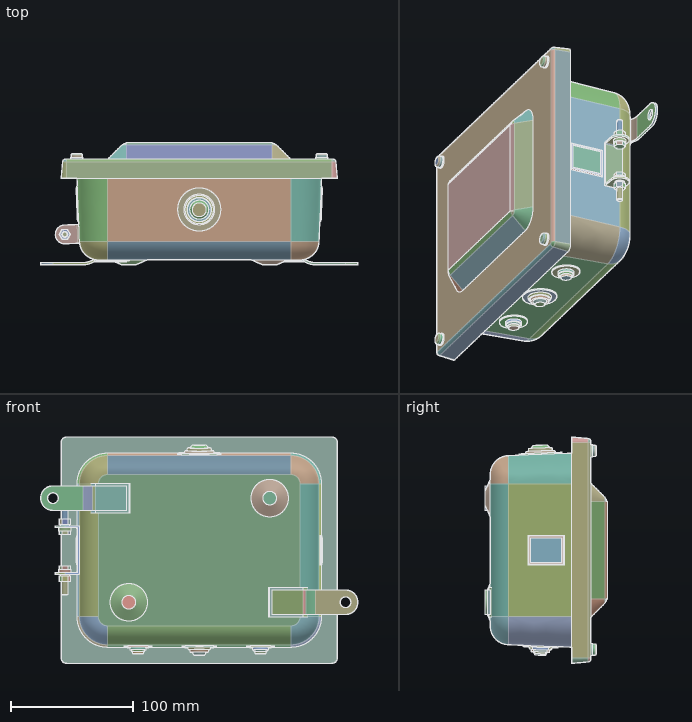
import cadquery as cq
import math

HOUSING_LENGTH = 199.7
HOUSING_HEIGHT = 158.5
HOUSING_CORNER_RADIUS = 25.0
FLOOR_RADIUS = 15.5
FLOOR_Y = -45.8
DRAFT = 2.2

LID_LENGTH = 225.5
LID_HEIGHT = 185.0
LID_CORNER_RADIUS = 4.7
LID_DRAFT = 5.0
LID_EDGE_RADIUS = 2.5
LID_FRONT_Y = 20.7
LID_BACK_Y = 36.5
PANEL_LENGTH = 149.2
PANEL_HEIGHT = 109.3
PANEL_CORNER_RADIUS = 15.0
PANEL_TOP_Y = 50.0
PANEL_SLOPE = 45.0
PANEL_EDGE_DROP = 2.0
PANEL_EDGE_SLOPE = 62.0

SCREW_X = 100.0
SCREW_Z = 81.0
SCREW_FLANGE_DIAMETER = 10.0
SCREW_HEAD_DIAMETER = 9.3
SCREW_FLANGE_THICKNESS = 1.0
SCREW_HEAD_THICKNESS = 3.4
SCREW_HEAD_ROUND = 1.3

STRAP_END_X = 129.5
STRAP_INNER_X = 59.3
STRAP_Z = 42.5
STRAP_WIDTH = 20.2
STRAP_THICKNESS = 2.0
STRAP_HOLE_DIAMETER = 8.5
STRAP_LOW_Y = -50.0
STRAP_OFFSET = 2.5
BEND_START_X = 94.8
BEND_MIDDLE_X = 87.0
BEND_END_X = 84.7
STRAP_WELD_WIDTH = 24.0
STRAP_WELD_LEG = 2.8
STRAP_WELD_HEIGHT = 0.8
STRAP_WELD_TIP_X = 90.5
STRAP_WELD_TIP_Y = -43.5

FOOT_X = 57.5
FOOT_Z = 42.5
FOOT_BASE_DIAMETER = 30.5
FOOT_TIP_DIAMETER = 11.1
FOOT_TIP_Y = -50.0

GROMMET_Y = -4.7
GROMMET_FLANGE_HEIGHT = 1.0
LARGE_GROMMET = (35.2, [(25.0, 23.0, 2.8), (20.0, 19.5, 5.2), (15.5, 11.5, 7.5)])
MEDIUM_GROMMET = (28.2, [(19.5, 17.5, 2.8), (15.5, 14.8, 5.0), (11.5, 8.5, 7.5)])
SMALL_GROMMET = (23.0, [(13.2, 13.2, 3.0), (11.5, 10.0, 4.7), (9.3, 8.5, 6.2)])
SMALL_GROMMET_X = 50.0

PLATE_LENGTH = 25.5
PLATE_HEIGHT = 20.2
PLATE_THICKNESS = 1.0
PLATE_WELD_LEG = 2.0
PLATE_WELD_HEIGHT = 0.8
PLATE_WELD_SLOPE = 45.0

BRACKET_Y = -24.5
BRACKET_WIDTH = 15.5
BRACKET_SPAN = 40.0
BRACKET_THICKNESS = 1.5
BRACKET_BEND_RADIUS = 2.3
BRACKET_REACH = 19.5
BOLT_SHANK_DIAMETER = 5.0
BOLT_END_Z = 36.5
BOLT_END_CHAMFER = 0.5
BOLT_WASHER_DIAMETER = 10.0
BOLT_WASHER_THICKNESS = 2.5
BOLT_HEX_DIAMETER = 9.3
BOLT_HEAD_THICKNESS = 3.0
LOCK_RING_DIAMETER = 7.8
LOCK_RING_THICKNESS = 1.0
NUT_THICKNESS = 4.7

EMBED = 1.0


def wall_inset(y):
    """Inward shift of a drafted housing wall at a given Y."""
    return (LID_FRONT_Y - y) * math.tan(math.radians(DRAFT))


def rounded_block(length, height, radius, y_start, depth, taper):
    """Tapered rounded rectangle extruded along Y; a negative depth goes toward -Y."""
    normal_y = math.copysign(1, depth)
    plane = cq.Plane(origin=(0, y_start, 0), xDir=(1, 0, 0), normal=(0, normal_y, 0))
    outline = cq.Sketch().rect(length, height).vertices().fillet(radius)
    return cq.Workplane(plane).placeSketch(outline).extrude(abs(depth), taper=taper)


def revolve_about_z(points):
    """Solid of revolution about Z from (radius, z) points."""
    return cq.Workplane("XZ").polyline(points).close().revolve(360, (0, 0), (0, 1))


def cylinder_z(diameter, z_start, z_end):
    return cq.Workplane("XY").workplane(offset=z_start).circle(diameter / 2).extrude(z_end - z_start)


def half_turn(shape):
    """Copy of a floor feature at the diagonally opposite place."""
    return shape.rotate((0, 0, 0), (0, 1, 0), 180)


def make_housing():
    depth = FLOOR_Y - LID_FRONT_Y
    tub = rounded_block(HOUSING_LENGTH, HOUSING_HEIGHT, HOUSING_CORNER_RADIUS, LID_FRONT_Y, depth, DRAFT)
    return tub.faces("<Y").edges().fillet(FLOOR_RADIUS)


def make_lid():
    thickness = LID_BACK_Y - LID_FRONT_Y
    lid = rounded_block(LID_LENGTH, LID_HEIGHT, LID_CORNER_RADIUS, LID_FRONT_Y, thickness, LID_DRAFT)
    return lid.faces(">Y").edges().fillet(LID_EDGE_RADIUS)


def make_panel():
    """Raised lid panel: a steep skirt and a flatter rim that eases into the top."""
    rise = PANEL_TOP_Y - PANEL_EDGE_DROP - LID_BACK_Y
    inset = rise * math.tan(math.radians(PANEL_SLOPE))
    skirt = rounded_block(PANEL_LENGTH, PANEL_HEIGHT, PANEL_CORNER_RADIUS, LID_BACK_Y, rise, PANEL_SLOPE)
    rim = rounded_block(
        PANEL_LENGTH - 2 * inset,
        PANEL_HEIGHT - 2 * inset,
        PANEL_CORNER_RADIUS - inset,
        LID_BACK_Y + rise,
        PANEL_EDGE_DROP,
        PANEL_EDGE_SLOPE,
    )
    return skirt.union(rim)


def make_lid_screw(x, z):
    flange = cylinder_z(SCREW_FLANGE_DIAMETER, -EMBED, SCREW_FLANGE_THICKNESS)
    head = cylinder_z(SCREW_HEAD_DIAMETER, 0, SCREW_FLANGE_THICKNESS + SCREW_HEAD_THICKNESS)
    head = head.faces(">Z").edges().fillet(SCREW_HEAD_ROUND)
    screw = flange.union(head).rotate((0, 0, 0), (1, 0, 0), -90)
    return screw.translate((x, LID_BACK_Y, z))


def make_strap():
    """Strap on the -X side: it is joggled away from the floor and has a round, drilled end."""
    end_radius = STRAP_WIDTH / 2
    end_centre_x = -STRAP_END_X + end_radius
    high_y = STRAP_LOW_Y + STRAP_OFFSET
    share = (BEND_START_X - BEND_MIDDLE_X) / (BEND_START_X - BEND_END_X)
    middle_y = STRAP_LOW_Y + share * STRAP_OFFSET
    strap = (
        cq.Workplane("XY")
        .moveTo(end_centre_x, STRAP_LOW_Y)
        .lineTo(-BEND_START_X, STRAP_LOW_Y)
        .tangentArcPoint((-BEND_MIDDLE_X, middle_y), relative=False)
        .tangentArcPoint((-BEND_END_X, high_y), relative=False)
        .lineTo(-STRAP_INNER_X, high_y)
        .line(0, STRAP_THICKNESS)
        .lineTo(-BEND_END_X, high_y + STRAP_THICKNESS)
        .tangentArcPoint((-BEND_MIDDLE_X, middle_y + STRAP_THICKNESS), relative=False)
        .tangentArcPoint((-BEND_START_X, STRAP_LOW_Y + STRAP_THICKNESS), relative=False)
        .lineTo(end_centre_x, STRAP_LOW_Y + STRAP_THICKNESS)
        .close()
        .extrude(end_radius, both=True)
    )
    end_plane = cq.Workplane("XZ", origin=(end_centre_x, STRAP_LOW_Y, 0))
    round_end = end_plane.circle(end_radius).extrude(-STRAP_THICKNESS)
    hole = end_plane.circle(STRAP_HOLE_DIAMETER / 2).extrude(-STRAP_THICKNESS)
    return strap.union(round_end).cut(hole).translate((0, 0, STRAP_Z))


def make_strap_weld():
    """Weld bead framing the strap and running up the rounded floor edge."""
    bead_y = FLOOR_Y - STRAP_WELD_HEIGHT
    outer_x = -STRAP_INNER_X + STRAP_WELD_LEG
    points = [
        (outer_x, FLOOR_Y + EMBED),
        (outer_x, FLOOR_Y),
        (outer_x - STRAP_WELD_HEIGHT, bead_y),
        (-BEND_END_X, bead_y),
        (-STRAP_WELD_TIP_X, STRAP_WELD_TIP_Y),
        (-BEND_END_X, STRAP_WELD_TIP_Y),
    ]
    bead = cq.Workplane("XY").polyline(points).close().extrude(STRAP_WELD_WIDTH / 2, both=True)
    return bead.translate((0, 0, STRAP_Z))


def make_foot():
    height = FLOOR_Y - FOOT_TIP_Y
    base_radius = FOOT_BASE_DIAMETER / 2
    tip_radius = FOOT_TIP_DIAMETER / 2
    profile = [(0, -EMBED), (base_radius, -EMBED), (base_radius, 0), (tip_radius, height), (0, height)]
    foot = revolve_about_z(profile).rotate((0, 0, 0), (1, 0, 0), 90)
    return foot.translate((FOOT_X, FLOOR_Y, FOOT_Z))


def make_grommet(grommet, x):
    """Stepped grommet square to the drafted top wall."""
    flange_diameter, tiers = grommet
    profile = [(0, -EMBED), (flange_diameter / 2, -EMBED), (flange_diameter / 2, GROMMET_FLANGE_HEIGHT)]
    tier_base = GROMMET_FLANGE_HEIGHT
    for lower_diameter, upper_diameter, tier_top in tiers:
        profile.append((lower_diameter / 2, tier_base))
        profile.append((upper_diameter / 2, tier_top))
        tier_base = tier_top
    profile.append((0, tier_base))
    wall_z = HOUSING_HEIGHT / 2 - wall_inset(GROMMET_Y)
    tilted = revolve_about_z(profile).rotate((0, 0, 0), (1, 0, 0), DRAFT)
    return tilted.translate((x, GROMMET_Y, wall_z))


def seat_on_left_wall(shape, y):
    """Tilt a part built outward along -X to the drafted wall and move it there."""
    tilted = shape.rotate((0, 0, 0), (0, 0, 1), DRAFT)
    return tilted.translate((-HOUSING_LENGTH / 2 + wall_inset(y), y, 0))


def make_wall_plate():
    """Plate on the -X wall with a sloped weld bead around it."""
    outward = cq.Plane(origin=(EMBED, 0, 0), xDir=(0, -1, 0), normal=(-1, 0, 0))
    weld_length = PLATE_LENGTH + 2 * PLATE_WELD_LEG
    weld_height = PLATE_HEIGHT + 2 * PLATE_WELD_LEG
    plate = cq.Workplane(outward).rect(PLATE_LENGTH, PLATE_HEIGHT).extrude(EMBED + PLATE_THICKNESS)
    weld = cq.Workplane(outward).rect(weld_length, weld_height).extrude(EMBED)
    weld = weld.faces("<X").workplane().rect(weld_length, weld_height)
    weld = weld.extrude(PLATE_WELD_HEIGHT, taper=PLATE_WELD_SLOPE)
    return seat_on_left_wall(plate.union(weld), 0)


def make_bolt():
    """Upper bolt: head inside the bracket, nut outside, shank end pointing up."""
    ear_outer = BRACKET_SPAN / 2
    ear_inner = ear_outer - BRACKET_THICKNESS
    head_top = ear_inner - BOLT_WASHER_THICKNESS
    nut_base = ear_outer + LOCK_RING_THICKNESS
    shank = cylinder_z(BOLT_SHANK_DIAMETER, head_top, BOLT_END_Z).faces(">Z").chamfer(BOLT_END_CHAMFER)
    washer = cylinder_z(BOLT_WASHER_DIAMETER, head_top, ear_inner)
    lock_ring = cylinder_z(LOCK_RING_DIAMETER, ear_outer, nut_base)
    bolt = shank.union(washer).union(lock_ring)
    for base, thickness in [(head_top - BOLT_HEAD_THICKNESS, BOLT_HEAD_THICKNESS), (nut_base, NUT_THICKNESS)]:
        hexagon = cq.Workplane("XY").workplane(offset=base).polygon(6, BOLT_HEX_DIAMETER).extrude(thickness)
        bolt = bolt.union(hexagon)
    return bolt


def make_bracket():
    """U-shaped bracket with round ears and one bolt through each ear."""
    embedded_reach = BRACKET_REACH + EMBED
    block = cq.Workplane("XY").box(embedded_reach, BRACKET_WIDTH, BRACKET_SPAN)
    block = block.translate((EMBED - embedded_reach / 2, 0, 0))
    block = block.edges("|Y and >X").fillet(BRACKET_BEND_RADIUS)
    opening_height = BRACKET_SPAN - 2 * BRACKET_THICKNESS
    opening = cq.Workplane("XY").box(BRACKET_REACH, BRACKET_WIDTH, opening_height)
    opening = opening.translate((-BRACKET_THICKNESS - BRACKET_REACH / 2, 0, 0))
    opening = opening.edges("|Y and >X").fillet(BRACKET_BEND_RADIUS - BRACKET_THICKNESS)
    ear_radius = BRACKET_WIDTH / 2
    bolt_x = -BRACKET_REACH + ear_radius
    ear_outline = (
        cq.Workplane("XY")
        .moveTo(EMBED, ear_radius)
        .lineTo(bolt_x, ear_radius)
        .threePointArc((-BRACKET_REACH, 0), (bolt_x, -ear_radius))
        .lineTo(EMBED, -ear_radius)
        .close()
        .extrude(BRACKET_SPAN / 2, both=True)
    )
    bracket = block.cut(opening).intersect(ear_outline)
    upper_bolt = make_bolt().translate((bolt_x, 0, 0))
    bracket = bracket.union(upper_bolt).union(upper_bolt.mirror("XY"))
    return seat_on_left_wall(bracket, BRACKET_Y)


result = make_housing().union(make_lid()).union(make_panel())

for side_x in (-1, 1):
    for side_z in (-1, 1):
        result = result.union(make_lid_screw(side_x * SCREW_X, side_z * SCREW_Z))

for floor_feature in (make_strap_weld(), make_strap(), make_foot()):
    result = result.union(floor_feature).union(half_turn(floor_feature))

result = result.union(make_grommet(LARGE_GROMMET, 0))
result = result.union(make_grommet(MEDIUM_GROMMET, 0).mirror("XY"))
for small_x in (-SMALL_GROMMET_X, SMALL_GROMMET_X):
    result = result.union(make_grommet(SMALL_GROMMET, small_x).mirror("XY"))

wall_plate = make_wall_plate()
result = result.union(wall_plate).union(wall_plate.mirror("YZ"))
result = result.union(make_bracket())